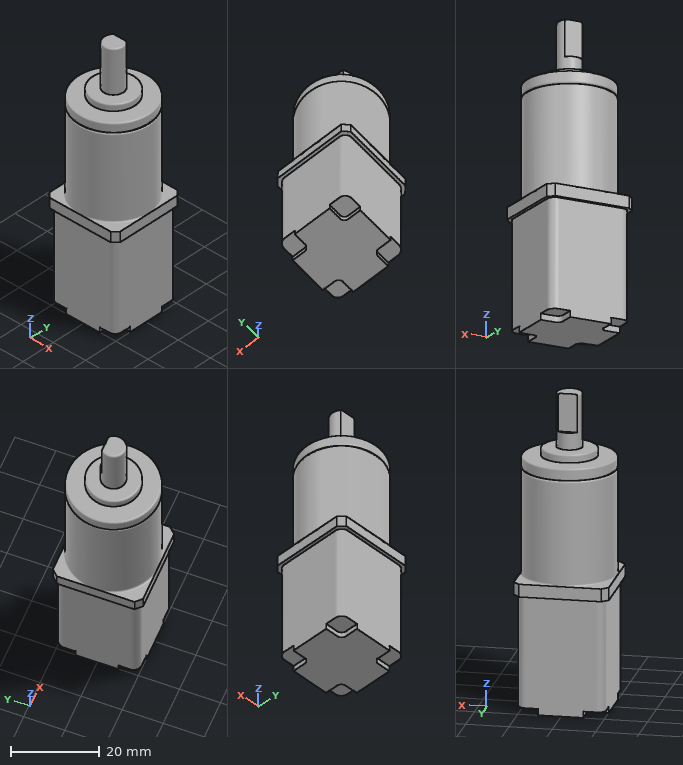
import cadquery as cq

motor_width = 20.3
motor_length = 28.0
motor_corner_radius = 2.0

relief_spacing = 10.45
relief_depth = 1.5
relief_radius = 1.35

plate_width = 22.0
plate_thickness = 3.0
plate_corner_chamfer = 1.5

plate_margin = 0.005
gearbox_diameter = plate_width - 2 * plate_margin
gearbox_top = 58.95
gearbox_rim_fillet = 0.5
base_fillet = 0.5
end_cap_thickness = 3.0

boss_diameter = 13.0
boss_height = 2.0
boss_fillet = 0.5
shaft_diameter = 6.0
shaft_length = 13.0
shaft_fillet = 0.5
flat_length = 9.0
flat_offset = 2.0

plate_top = motor_length + plate_thickness
cap_bottom = gearbox_top - end_cap_thickness
boss_top = gearbox_top + boss_height
shaft_top = boss_top + shaft_length


def cylinder(diameter, bottom, top):
    """Upright cylinder on the Z axis."""
    return cq.Workplane("XY").workplane(offset=bottom).circle(diameter / 2).extrude(top - bottom)


def make_motor():
    """Motor column with a relief, rounded on the inside, at each bottom corner."""
    body = (
        cq.Workplane("XY")
        .rect(motor_width, motor_width)
        .extrude(motor_length)
        .edges("|Z")
        .fillet(motor_corner_radius)
    )
    cutter_width = motor_width
    cutter_center = (relief_spacing + cutter_width) / 2
    cutters = (
        cq.Workplane("XY")
        .rect(2 * cutter_center, 2 * cutter_center, forConstruction=True)
        .vertices()
        .rect(cutter_width, cutter_width)
        .extrude(relief_depth)
        .edges("|Z")
        .fillet(relief_radius)
    )
    return body.cut(cutters)


def make_plate():
    """Mounting plate with chamfered corners."""
    return (
        cq.Workplane("XY")
        .workplane(offset=motor_length)
        .rect(plate_width, plate_width)
        .extrude(plate_thickness)
        .edges("|Z")
        .chamfer(plate_corner_chamfer)
    )


def make_plate_and_case():
    """Gearbox case standing on the plate, blended into it by a fillet."""
    case = cylinder(gearbox_diameter, plate_top, cap_bottom)
    case = case.faces(">Z").edges().fillet(gearbox_rim_fillet)
    housing = make_plate().union(case)
    base_radius = gearbox_diameter / 2
    base_edge = cq.selectors.BoxSelector(
        (-base_radius, -base_radius, plate_top - base_fillet),
        (base_radius, base_radius, plate_top + base_fillet),
    )
    return housing.edges("%CIRCLE").edges(base_edge).fillet(base_fillet)


def make_end_cap():
    """Gearbox end cap with both rims rounded."""
    cap = cylinder(gearbox_diameter, cap_bottom, gearbox_top)
    return cap.edges("%CIRCLE").fillet(gearbox_rim_fillet)


def make_boss():
    """Round boss on top of the gearbox."""
    return cylinder(boss_diameter, gearbox_top, boss_top).faces(">Z").edges().fillet(boss_fillet)


def make_shaft():
    """Output shaft with a flat on its upper part."""
    shaft = cylinder(shaft_diameter, boss_top, shaft_top).faces(">Z").edges().fillet(shaft_fillet)
    flat_cutter = (
        cq.Workplane("XY")
        .workplane(offset=shaft_top - flat_length)
        .center(0, flat_offset + shaft_diameter / 2)
        .rect(2 * shaft_diameter, shaft_diameter)
        .extrude(flat_length)
    )
    return shaft.cut(flat_cutter)


result = (
    make_plate_and_case()
    .union(make_end_cap())
    .union(make_motor())
    .union(make_boss())
    .union(make_shaft())
)